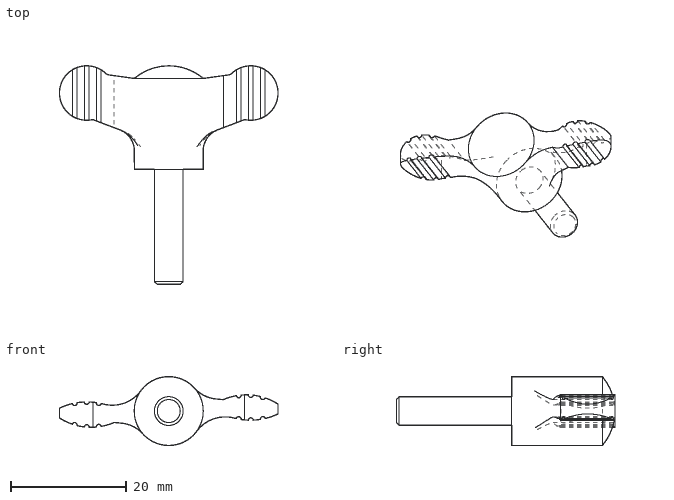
import cadquery as cq
import math

hub_radius = 6.0
hub_length = 15.8
head_length = 18.0
stud_radius = 2.5
stud_length = 20.0
stud_chamfer = 0.5

wing_span = 38.0
lobe_radius = 4.75
tip_x = wing_span / 2
lobe_x = tip_x - lobe_radius
lobe_y = head_length - lobe_radius
neck_angle = math.radians(8)
neck_fillet = 1.0
flank_outer_x = 13.2
flank_outer_y = lobe_y - math.sqrt(lobe_radius**2 - (flank_outer_x - lobe_x) ** 2)
flank_angle = math.radians(20.7)
flank_slope = math.tan(flank_angle)
flank_axis_y = flank_outer_y - flank_outer_x * flank_slope

root_radius = 3.9

top_root_x = 4.48
top_root_radius = 5.65
top_neck_x = 8.33
top_lobe_start = (9.49, 2.0)
top_lobe_crown = (13.4, 2.84)
tip_top_z = 1.2
tip_bottom_z = -0.5
bottom_lobe_crown = (13.8, -1.6)
bottom_neck_x = 11.4
bottom_root_x = 4.84
bottom_root_radius = 6.15

groove_radius = 0.42
groove_pitch = 2.1


def make_hub():
    """Hub with a spherical dome and a chamfered stud, as one turned profile."""
    dome_rise = head_length - hub_length
    dome_radius = (hub_radius**2 + dome_rise**2) / (2 * dome_rise)
    mid_radius = hub_radius / 2
    mid_y = head_length - dome_radius + math.sqrt(dome_radius**2 - mid_radius**2)
    return (
        cq.Workplane("XY")
        .moveTo(0, -stud_length)
        .lineTo(stud_radius - stud_chamfer, -stud_length)
        .lineTo(stud_radius, -stud_length + stud_chamfer)
        .lineTo(stud_radius, 0)
        .lineTo(hub_radius, 0)
        .lineTo(hub_radius, hub_length)
        .threePointArc((mid_radius, mid_y), (0, head_length))
        .close()
        .revolve(360, (0, 0, 0), (0, 1, 0))
    )


def root_curve(start_x, end_x, radius, side):
    """Points at the start, middle and end of a concave arc tangent to the hub circle.

    side is +1 for the upper face of the wing and -1 for the lower face.
    """
    start_z = math.sqrt(hub_radius**2 - start_x**2)
    reach = (hub_radius + radius) / hub_radius
    center_x = start_x * reach
    center_z = start_z * reach

    def point_at(x):
        return (x, side * (center_z - math.sqrt(radius**2 - (x - center_x) ** 2)))

    return [point_at(x) for x in (start_x, (start_x + end_x) / 2, end_x)]


def make_wing_section():
    """Wing cross-section, swept along Y for the full height of the head."""
    top_start, top_middle, top_end = root_curve(top_root_x, top_neck_x, top_root_radius, 1)
    bottom_start, bottom_middle, bottom_end = root_curve(
        bottom_root_x, bottom_neck_x, bottom_root_radius, -1
    )
    return (
        cq.Workplane("XZ")
        .lineTo(*top_start)
        .threePointArc(top_middle, top_end)
        .lineTo(*top_lobe_start)
        .threePointArc(top_lobe_crown, (tip_x, tip_top_z))
        .lineTo(tip_x, tip_bottom_z)
        .threePointArc(bottom_lobe_crown, bottom_end)
        .threePointArc(bottom_middle, bottom_start)
        .close()
        .extrude(-head_length)
    )


def circle_through(a, b, c):
    """Centre and radius of the circle through three points."""
    d = 2 * (a[0] * (b[1] - c[1]) + b[0] * (c[1] - a[1]) + c[0] * (a[1] - b[1]))
    sa, sb, sc = (p[0] ** 2 + p[1] ** 2 for p in (a, b, c))
    x = (sa * (b[1] - c[1]) + sb * (c[1] - a[1]) + sc * (a[1] - b[1])) / d
    z = (sa * (c[0] - b[0]) + sb * (a[0] - c[0]) + sc * (b[0] - a[0])) / d
    return x, z, math.hypot(a[0] - x, a[1] - z)


def make_grooves():
    """Round grooves along Y, centred on the upper and lower lobe faces."""
    bottom_end = root_curve(bottom_root_x, bottom_neck_x, bottom_root_radius, -1)[2]
    faces = (
        (1, circle_through(top_lobe_start, top_lobe_crown, (tip_x, tip_top_z))),
        (-1, circle_through(bottom_end, bottom_lobe_crown, (tip_x, tip_bottom_z))),
    )
    centers = []
    for side, (center_x, center_z, radius) in faces:
        for step in (-1, 0, 1):
            x = lobe_x + step * groove_pitch
            z = center_z + side * math.sqrt(radius**2 - (x - center_x) ** 2)
            centers.append((x, z))
    return cq.Workplane("XZ").pushPoints(centers).circle(groove_radius).extrude(-head_length)


def neck_arc():
    """Points at the start, middle and end of the neck fillet, from the lobe to the arm's upper edge."""
    along = (math.cos(neck_angle), math.sin(neck_angle))
    across = (-along[1], along[0])
    from_lobe = (hub_radius - lobe_x, hub_length - lobe_y)
    lobe_along = from_lobe[0] * along[0] + from_lobe[1] * along[1]
    lobe_across = from_lobe[0] * across[0] + from_lobe[1] * across[1]
    reach = lobe_radius + neck_fillet
    distance = -lobe_along - math.sqrt(reach**2 - (lobe_across + neck_fillet) ** 2)
    end = (hub_radius + distance * along[0], hub_length + distance * along[1])
    center = (end[0] + neck_fillet * across[0], end[1] + neck_fillet * across[1])
    lobe_angle = math.atan2(lobe_y - center[1], lobe_x - center[0])
    line_angle = neck_angle - math.pi / 2
    angles = (lobe_angle, (lobe_angle + line_angle) / 2)
    start, middle = (
        (center[0] + neck_fillet * math.cos(angle), center[1] + neck_fillet * math.sin(angle))
        for angle in angles
    )
    return start, middle, end


def make_arm():
    """Wing outline in the XY plane: a round lobe on a tapering arm, extruded along Z."""
    neck_start, neck_middle, neck_end = neck_arc()
    return (
        cq.Workplane("XY")
        .moveTo(0, flank_axis_y)
        .lineTo(flank_outer_x, flank_outer_y)
        .threePointArc((tip_x, lobe_y), neck_start)
        .threePointArc(neck_middle, neck_end)
        .lineTo(hub_radius, hub_length)
        .lineTo(0, hub_length)
        .close()
        .extrude(hub_radius, both=True)
    )


def make_root_flare():
    """Turned flare whose arc is tangent to the hub wall and to the sloping flank."""
    center_r = hub_radius + root_radius
    center_y = flank_axis_y + center_r * flank_slope - root_radius / math.cos(flank_angle)
    end_angle = math.pi / 2 + flank_angle
    middle_angle = (math.pi + end_angle) / 2

    def arc_point(angle):
        return (center_r + root_radius * math.cos(angle), center_y + root_radius * math.sin(angle))

    end_point = arc_point(end_angle)
    return (
        cq.Workplane("XY")
        .moveTo(0, center_y)
        .lineTo(hub_radius, center_y)
        .threePointArc(arc_point(middle_angle), end_point)
        .lineTo(end_point[0], hub_length)
        .lineTo(0, hub_length)
        .close()
        .revolve(360, (0, 0, 0), (0, 1, 0))
    )


wing_envelope = make_arm().union(make_root_flare())
wing = make_wing_section().intersect(wing_envelope).cut(make_grooves())
opposite_wing = wing.rotate((0, 0, 0), (0, 1, 0), 180)

result = make_hub().union(wing).union(opposite_wing)